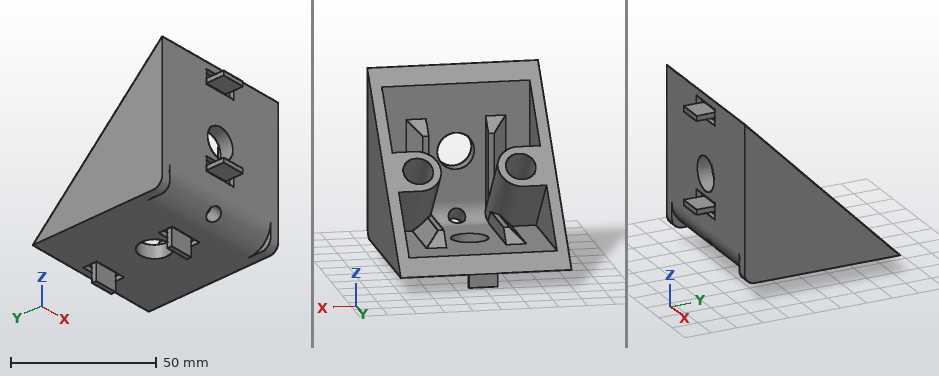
import cadquery as cq
import math

overall = 66.0
leg = 60.0
width = leg
plate = 5.6
side_wall = 4.0
edge_radius = 4.0

relief_radius = 10.0
inner_radius = 6.9
drain_radius = 3.0

tab_length = overall - leg
tab_width = 10.0
tab_thickness = 2.0
pocket_gap = 2.05
pocket_depth = 2.0
tab_heights = (19.0, 54.0)

mount_radius = 6.5
mount_height = 30.4

rib_inner_x = 10.5
rib_outer_x = 17.5
rib_end = 42.4
rib_height = 4.95

boss_x = 18.0
boss_radius = 8.0
bore_radius = 5.2
bore_depth = 26.4

inner_width = width - 2 * side_wall
slope_middle = leg / 2
slope_to_corner = leg / math.sqrt(2)
diagonal = cq.Vector(0, 1, 1)


def box(x_size, y_range, z_range):
    """Box centred on X = 0 with the given Y and Z limits."""
    y_size = y_range[1] - y_range[0]
    z_size = z_range[1] - z_range[0]
    corner = (-x_size / 2, y_range[0], z_range[0])
    return cq.Workplane("XY").box(x_size, y_size, z_size, centered=False).translate(corner)


def with_mirror(shape):
    """Add the copy of a shape reflected in the plane Y = Z."""
    return shape.union(shape.rotate((0, 0, 0), (0, 1, 1), 180).mirror("YZ"))


def triangle(x_size, start, radius):
    """Triangular prism under the sloping face, with its square corner rounded."""
    points = [(start, start), (leg - start, start), (start, leg - start)]
    prism = cq.Workplane("YZ").polyline(points).close().extrude(x_size / 2, both=True)
    return prism.edges(cq.selectors.NearestToPointSelector((0, start, start))).fillet(radius)


def corner_relief():
    corner = box(inner_width, (0, relief_radius), (0, relief_radius))
    roller = (
        cq.Workplane("YZ").center(relief_radius, relief_radius)
        .circle(relief_radius).extrude(width / 2, both=True)
    )
    return corner.cut(roller)


def slope_plane():
    """Plane on the sloping face with its normal pointing out of the part."""
    return cq.Plane((0, slope_middle, slope_middle), (1, 0, 0), diagonal)


def bosses():
    """Round bosses joined to the side walls, running down into the corner."""
    solid = cq.Workplane("XY")
    web = width / 2 - side_wall / 2 - boss_x
    for side in (-1, 1):
        profile = cq.Workplane(slope_plane()).center(side * boss_x, 0)
        post = profile.circle(boss_radius).extrude(-slope_to_corner)
        joint = profile.center(side * web / 2, 0).rect(web, 2 * boss_radius).extrude(-slope_to_corner)
        solid = solid.union(post).union(joint)
    return solid.intersect(triangle(width, 0, relief_radius))


def boss_bores():
    centres = [(-boss_x, 0), (boss_x, 0)]
    return cq.Workplane(slope_plane()).pushPoints(centres).circle(bore_radius).extrude(-bore_depth)


def rib():
    """Rib rooted in the upright plate, chamfered along its outer side and upper end."""
    rib_width = rib_outer_x - rib_inner_x
    rib_top = plate + rib_height
    block = box(rib_width, (plate / 2, rib_top), (plate, rib_end))
    block = block.translate(((rib_inner_x + rib_outer_x) / 2, 0, 0))
    sloped_edges = block.faces(">Y").edges(">X or >Z")
    return sloped_edges.chamfer(rib_height)


def ribs():
    right = rib()
    return with_mirror(right.union(right.mirror("YZ")))


def pockets():
    cuts = cq.Workplane("XY")
    half_height = tab_thickness / 2 + pocket_gap
    for height in tab_heights:
        z_range = (height - half_height, height + half_height)
        cuts = cuts.union(box(tab_width + 2 * pocket_gap, (0, pocket_depth), z_range))
    return with_mirror(cuts)


def tabs():
    solid = cq.Workplane("XY")
    for height in tab_heights:
        z_range = (height - tab_thickness / 2, height + tab_thickness / 2)
        solid = solid.union(box(tab_width, (-tab_length, pocket_depth), z_range))
    return with_mirror(solid)


def mount_holes():
    hole = cq.Workplane("XZ").center(0, mount_height).circle(mount_radius).extrude(-plate)
    return with_mirror(hole)


def drain_hole():
    corner_plane = cq.Plane((0, 0, 0), (1, 0, 0), diagonal)
    return cq.Workplane(corner_plane).circle(drain_radius).extrude(slope_to_corner)


cavity = triangle(inner_width, plate, inner_radius)
body = triangle(width, 0, edge_radius).cut(cavity)
body = body.union(bosses()).union(ribs())
body = body.cut(corner_relief()).cut(boss_bores())
body = body.cut(mount_holes()).cut(drain_hole()).cut(pockets())
result = body.union(tabs())